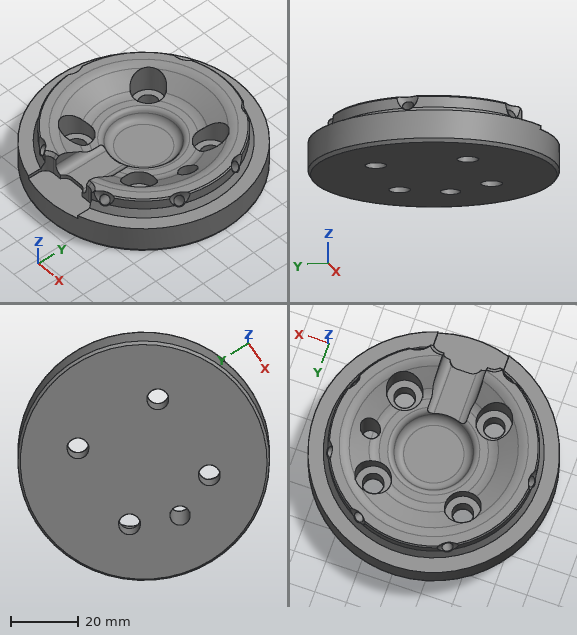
import cadquery as cq
import math

flange_radius = 37.5
total_height = 16.0
flange_height = 9.75
bottom_chamfer_height = 1.1
bottom_chamfer_width = 0.75
neck_base_radius = 32.9
rim_radius = 31.6
rim_base_height = 12.2
rim_chamfer = 0.45

lip_outer_radius = 28.2
lip_inner_radius = 25.2
foot_outer_radius = 19.3
foot_inner_radius = 16.3
wall_slope = math.radians(30)

bowl_edge_radius = 13.7
bowl_floor_radius = 9.0
bowl_edge_round = 2.0
bowl_floor_round = 3.0

bolt_circle_radius = 20.0
bolt_start_angle = 45
bolt_count = 4
bolt_radius = 3.2
counterbore_radius = 5.5
counterbore_floor = 6.0
dowel_radius = 3.0

channel_floor = 10.0
channel_half_width = 6.9
channel_round = 3.0

pocket_floor = 8.6
pocket_half_width = 11.2
pocket_back = 28.65
pocket_round = 3.2
pocket_chamfer = 1.1
bay_half_width = 5.1
bay_back = 26.6
bay_round = 3.15

seat_angles = (180, 117, -117, 63, -63, 21, -21)
seat_mouth_radius = 30.8
seat_mouth_height = 13.1
seat_tilt = math.radians(30)
seat_cone_angle = math.radians(51)
seat_cone_length = 3.75
seat_hole_radius = 1.65
seat_hole_depth = 9.0


def body():
    return (
        cq.Workplane("XZ")
        .moveTo(0, 0)
        .lineTo(flange_radius - bottom_chamfer_width, 0)
        .lineTo(flange_radius, bottom_chamfer_height)
        .lineTo(flange_radius, flange_height)
        .lineTo(neck_base_radius, flange_height)
        .lineTo(rim_radius, rim_base_height)
        .lineTo(rim_radius, total_height - rim_chamfer)
        .lineTo(rim_radius - rim_chamfer, total_height)
        .lineTo(0, total_height)
        .close()
        .revolve(360, (0, 0), (0, 1))
    )


def basin():
    half_slope = wall_slope / 2
    lip_run = lip_outer_radius - lip_inner_radius
    foot_run = foot_outer_radius - foot_inner_radius
    lip_round = lip_run / math.sin(wall_slope)
    foot_round = foot_run / math.sin(wall_slope)
    lip_bottom = total_height - lip_run * math.tan(half_slope)
    wall_bottom = lip_bottom - (lip_inner_radius - foot_outer_radius) * math.tan(wall_slope)
    ledge = wall_bottom - foot_run * math.tan(half_slope)

    bowl_angle = math.asin((bowl_edge_radius - bowl_floor_radius) / (bowl_edge_round + bowl_floor_round))
    bowl_tangent_radius = bowl_edge_radius - bowl_edge_round * math.sin(bowl_angle)
    bowl_tangent_height = ledge - bowl_edge_round * (1 - math.cos(bowl_angle))
    bowl_floor = bowl_tangent_height - bowl_floor_round * (1 - math.cos(bowl_angle))

    def arc_mid(center_x, center_z, radius, angle):
        return center_x + radius * math.cos(angle), center_z + radius * math.sin(angle)

    quarter = math.pi / 2
    lip_mid = arc_mid(lip_outer_radius, total_height - lip_round, lip_round, quarter + half_slope)
    foot_mid = arc_mid(foot_inner_radius, ledge + foot_round, foot_round, half_slope - quarter)
    edge_mid = arc_mid(bowl_edge_radius, ledge - bowl_edge_round, bowl_edge_round, quarter + bowl_angle / 2)
    floor_mid = arc_mid(
        bowl_floor_radius, bowl_floor + bowl_floor_round, bowl_floor_round, bowl_angle / 2 - quarter
    )
    return (
        cq.Workplane("XZ")
        .moveTo(0, total_height)
        .lineTo(lip_outer_radius, total_height)
        .threePointArc(lip_mid, (lip_inner_radius, lip_bottom))
        .lineTo(foot_outer_radius, wall_bottom)
        .threePointArc(foot_mid, (foot_inner_radius, ledge))
        .lineTo(bowl_edge_radius, ledge)
        .threePointArc(edge_mid, (bowl_tangent_radius, bowl_tangent_height))
        .threePointArc(floor_mid, (bowl_floor_radius, bowl_floor))
        .lineTo(0, bowl_floor)
        .close()
        .revolve(360, (0, 0), (0, 1))
    )


def mounting_holes():
    def bolt_pattern(height):
        return cq.Workplane("XY", origin=(0, 0, height)).polarArray(
            bolt_circle_radius, bolt_start_angle, 360, bolt_count
        )

    through = bolt_pattern(0).circle(bolt_radius).extrude(total_height)
    counterbores = bolt_pattern(counterbore_floor).circle(counterbore_radius).extrude(total_height)
    dowel = cq.Workplane("XY").center(bolt_circle_radius, 0).circle(dowel_radius).extrude(total_height)
    return through.union(counterbores).union(dowel)


def channel():
    return (
        cq.Workplane("XY", origin=(0, -pocket_back / 2, channel_floor))
        .rect(2 * channel_half_width, pocket_back)
        .extrude(total_height - channel_floor)
        .edges("|Y and <Z")
        .fillet(channel_round)
    )


def slot_outline(half_width, back, corner_round, height):
    """Outline of a slot open at the front edge, with its two back corners rounded."""
    straight_half_width = half_width - corner_round
    corner_start = -back - corner_round
    return (
        cq.Workplane("XY", origin=(0, 0, height))
        .moveTo(-half_width, -flange_radius)
        .lineTo(-half_width, corner_start)
        .radiusArc((-straight_half_width, -back), corner_round)
        .lineTo(straight_half_width, -back)
        .radiusArc((half_width, corner_start), corner_round)
        .lineTo(half_width, -flange_radius)
        .close()
    )


def pocket():
    depth = total_height - pocket_floor
    main = slot_outline(pocket_half_width, pocket_back, pocket_round, pocket_floor).extrude(depth)
    bay = slot_outline(bay_half_width, bay_back, bay_round, pocket_floor).extrude(depth)
    chamfer_base = total_height - pocket_chamfer
    chamfer = slot_outline(pocket_half_width, pocket_back, pocket_round, chamfer_base).extrude(
        pocket_chamfer, taper=-45
    )
    return main.union(bay).union(chamfer)


def screw_seats():
    axis = cq.Vector(math.cos(seat_tilt), 0, math.sin(seat_tilt))
    mouth = cq.Vector(seat_mouth_radius, 0, seat_mouth_height)
    apex = mouth - axis * (seat_hole_radius / math.tan(seat_cone_angle))
    cone_radius = seat_cone_length * math.tan(seat_cone_angle)
    cone = cq.Solid.makeCone(0, cone_radius, seat_cone_length, apex, axis)
    bore_length = seat_hole_depth + seat_cone_length
    bore_end = mouth - axis * seat_hole_depth
    bore = cq.Solid.makeCylinder(seat_hole_radius, bore_length, bore_end, axis)
    seat = cq.Workplane(cone).union(cq.Workplane(bore))
    seats = cq.Workplane()
    for angle in seat_angles:
        seats = seats.add(seat.rotate((0, 0, 0), (0, 0, 1), angle))
    return seats.combine()


result = body().cut(basin()).cut(mounting_holes()).cut(channel()).cut(pocket()).cut(screw_seats())